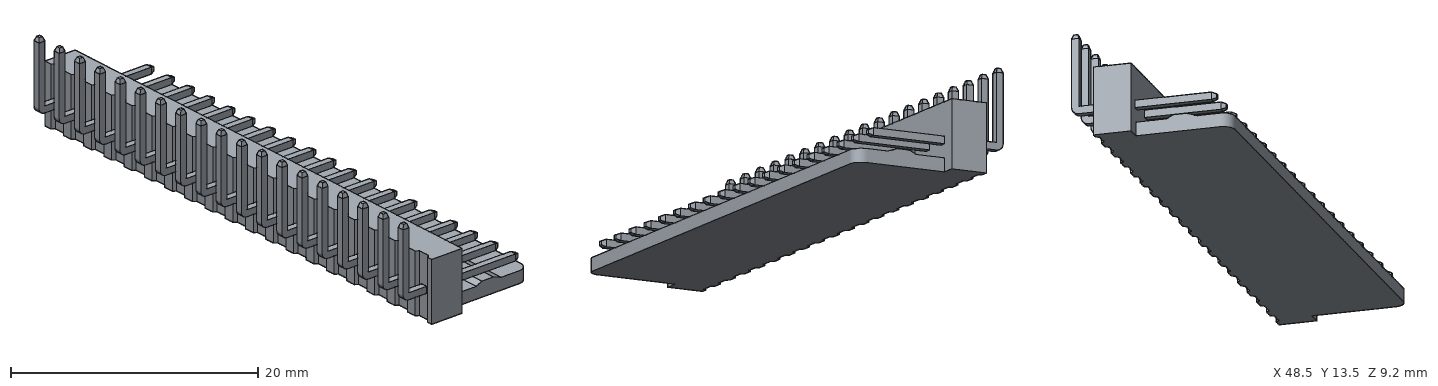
import cadquery as cq
import math

wall_length = 48.55
wall_depth = 3.2
wall_height = 5.85

plate_inset = 1.25
plate_tip_y = 11.3
plate_thickness = 1.15
plate_corner_radius = 1.0

bump_length = 4.65
bump_height = 0.3
bump_base_back_setback = 2.9
bump_top_back_setback = 3.75
bump_top_front_setback = 4.95
bump_base_front_setback = 5.55

pin_count = 19
pin_width = 0.65
first_pin_x = 1.55
last_pin_margin = 1.3
pin_pitch = (wall_length - first_pin_x - last_pin_margin) / (pin_count - 1)
pin_xs = [first_pin_x + i * pin_pitch for i in range(pin_count)]
pin_underside_z = 2.35
pin_front_y = -2.2
pin_top_z = 9.2
pin_back_y = 10.1
tip_length = 0.4
tip_inset = 0.15
bend_radius = 0.6

groove_depth = 0.3
groove_mouth_width = 1.55
groove_floor_width = 1.15


def make_wall():
    return cq.Workplane("XY").box(wall_length, wall_depth, wall_height, centered=False)


def make_groove(x):
    half_mouth = groove_mouth_width / 2
    half_floor = groove_floor_width / 2
    return (
        cq.Workplane("XY")
        .polyline([
            (x - half_mouth, 0),
            (x - half_floor, groove_depth),
            (x + half_floor, groove_depth),
            (x + half_mouth, 0),
        ])
        .close()
        .extrude(wall_height)
    )


def make_plate():
    length = wall_length - 2 * plate_inset
    depth = plate_tip_y - wall_depth
    return (
        cq.Workplane("XY")
        .box(length, depth, plate_thickness, centered=False)
        .edges("|Z and >Y")
        .fillet(plate_corner_radius)
        .translate((plate_inset, wall_depth, 0))
    )


def make_bump(left_x):
    top_z = plate_thickness + bump_height
    return (
        cq.Workplane("YZ", origin=(left_x, 0, 0))
        .polyline([
            (plate_tip_y - bump_base_back_setback, plate_thickness),
            (plate_tip_y - bump_top_back_setback, top_z),
            (plate_tip_y - bump_top_front_setback, top_z),
            (plate_tip_y - bump_base_front_setback, plate_thickness),
        ])
        .close()
        .extrude(bump_length)
    )


def make_tip(base_plane):
    """Tapered square tip that narrows by tip_inset on every side."""
    taper_angle = math.degrees(math.atan2(tip_inset, tip_length))
    return (
        cq.Workplane(base_plane)
        .rect(pin_width, pin_width)
        .extrude(tip_length, taper=taper_angle)
    )


def make_pin(x):
    """L-shaped pin with a rounded outer bend and a tapered tip on each leg."""
    leg_back_y = pin_front_y + pin_width
    leg_top_z = pin_underside_z + pin_width
    back_shoulder_y = pin_back_y - tip_length
    top_shoulder_z = pin_top_z - tip_length
    legs = (
        cq.Workplane("YZ", origin=(x - pin_width / 2, 0, 0))
        .moveTo(back_shoulder_y, pin_underside_z)
        .lineTo(pin_front_y, pin_underside_z)
        .lineTo(pin_front_y, top_shoulder_z)
        .lineTo(leg_back_y, top_shoulder_z)
        .lineTo(leg_back_y, leg_top_z)
        .lineTo(back_shoulder_y, leg_top_z)
        .close()
        .extrude(pin_width)
        .edges("|X and <Y and <Z")
        .fillet(bend_radius)
    )
    top_centre = (x, pin_front_y + pin_width / 2, top_shoulder_z)
    back_centre = (x, back_shoulder_y, pin_underside_z + pin_width / 2)
    top_tip = make_tip(cq.Plane(top_centre, xDir=(1, 0, 0), normal=(0, 0, 1)))
    back_tip = make_tip(cq.Plane(back_centre, xDir=(1, 0, 0), normal=(0, 1, 0)))
    return legs.union(top_tip).union(back_tip)


result = make_wall()
for x in pin_xs:
    result = result.cut(make_groove(x))
result = result.union(make_plate())
for left_x in (plate_inset, wall_length - plate_inset - bump_length):
    result = result.union(make_bump(left_x))
for x in pin_xs:
    result = result.union(make_pin(x))